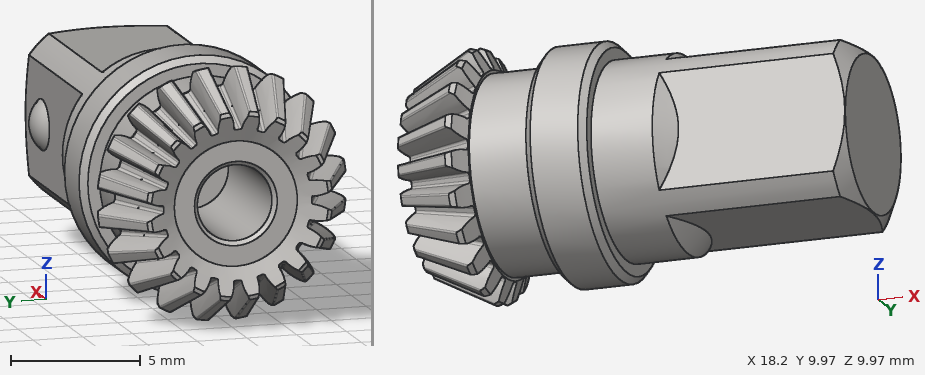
import cadquery as cq
import math


tooth_count = 20
apex_x = -6.91
tip_end_x = 2.44
tip_radius = 5.02
root_radius = 4.13
gear_end_x = 3.07
back_edge_x = 2.67
back_edge_radius = 4.93
back_face_radius = 4.1
front_edge_x = 0.05
front_edge_radius = 3.57
dish_radius = 2.47
dish_depth = 0.55

gap_floor_half = 0.1
gap_root_half = 0.21
root_fillet_height = 0.11
flank_mid_half = 0.31
flank_top_half = 0.51
tip_round_height = 0.1
tooth_land = 0.36
gap_overrun = 0.36

hub_radius = 7.93 / 2
hub_end_x = 10.57
collar_radius = 9.44 / 2
collar_start_x = 5.57
collar_end_x = 8.05
collar_chamfer = 0.27

length = 18.19
square_side = 6.35
end_radius = 3.15
end_chamfer_length = 0.5
ball_x = 15.95
ball_radius = 1.31
ball_height = 0.47

bore_radius = 3.0 / 2
bore_chamfer = 0.16
bore_depth = 6.0


def cone_radius(radius, at_x, x):
    """Radius at x of the cone from the apex through (at_x, radius)."""
    return radius * (x - apex_x) / (at_x - apex_x)


def revolve_about_x(profile):
    return profile.close().revolve(360, (0, 0, 0), (1, 0, 0))


def make_body():
    """Gear blank, hub and drive shank as one turned body."""
    profile = (
        cq.Workplane("XY")
        .moveTo(dish_depth, 0)
        .lineTo(dish_depth, dish_radius)
        .lineTo(0, front_edge_radius)
        .lineTo(front_edge_x, cone_radius(tip_radius, tip_end_x, front_edge_x))
        .lineTo(tip_end_x, tip_radius)
        .lineTo(back_edge_x, back_edge_radius)
        .lineTo(gear_end_x, back_face_radius)
        .lineTo(gear_end_x, hub_radius)
        .lineTo(length - end_chamfer_length, hub_radius)
        .lineTo(length, end_radius)
        .lineTo(length, 0)
    )
    return revolve_about_x(profile)


def make_collar():
    return (
        cq.Workplane("YZ", origin=(collar_start_x, 0, 0))
        .circle(collar_radius)
        .extrude(collar_end_x - collar_start_x)
        .edges()
        .chamfer(collar_chamfer)
    )


def gap_wire(x):
    """Outline of one tooth gap in the plane at x, centred on +Z."""
    scale = (x - apex_x) / (tip_end_x - apex_x)
    root = cone_radius(root_radius, gear_end_x, tip_end_x)
    flank_base = root + root_fillet_height
    flank_top = tip_radius - tip_round_height
    land_angle = math.pi / tooth_count - tooth_land / 2 / tip_radius
    land_half = tip_radius * math.sin(land_angle)
    land_height = tip_radius * math.cos(land_angle)
    outer = tip_radius + gap_overrun

    diagonal = math.sqrt(0.5)
    fillet_mid = (
        gap_floor_half + diagonal * (gap_root_half - gap_floor_half),
        flank_base - diagonal * root_fillet_height,
    )
    flank_mid = (flank_mid_half, (flank_base + flank_top) / 2)
    round_mid = (
        land_half - diagonal * (land_half - flank_top_half),
        flank_top + diagonal * (land_height - flank_top),
    )

    def right(point):
        return (point[0] * scale, point[1] * scale)

    def left(point):
        return (-point[0] * scale, point[1] * scale)

    floor_end = (gap_floor_half, root)
    flank_start = (gap_root_half, flank_base)
    flank_end = (flank_top_half, flank_top)
    land_edge = (land_half, land_height)
    outer_corner = (land_half, outer)
    return (
        cq.Workplane("YZ", origin=(x, 0, 0))
        .moveTo(*left(floor_end))
        .lineTo(*right(floor_end))
        .threePointArc(right(fillet_mid), right(flank_start))
        .threePointArc(right(flank_mid), right(flank_end))
        .threePointArc(right(round_mid), right(land_edge))
        .lineTo(*right(outer_corner))
        .lineTo(*left(outer_corner))
        .lineTo(*left(land_edge))
        .threePointArc(left(round_mid), left(flank_end))
        .threePointArc(left(flank_mid), left(flank_start))
        .threePointArc(left(fillet_mid), left(floor_end))
        .close()
        .val()
    )


def cut_tooth_gaps(body):
    ends = [gap_wire(-gap_overrun), gap_wire(gear_end_x)]
    gap = cq.Solid.makeLoft(ends, True)
    pitch_angle = 360 / tooth_count
    for index in range(tooth_count):
        turned_gap = gap.rotate(cq.Vector(0, 0, 0), cq.Vector(1, 0, 0), index * pitch_angle)
        body = body.cut(cq.Workplane(turned_gap))
    return body


def cut_square(body):
    """Mill the four flats; they run out on a 45 degree shoulder behind the hub."""
    waste = (
        cq.Workplane("YZ", origin=(hub_end_x, 0, 0))
        .rect(3 * hub_radius, 3 * hub_radius)
        .rect(square_side, square_side)
        .extrude(length - hub_end_x)
    )
    shoulder = revolve_about_x(
        cq.Workplane("XY")
        .moveTo(hub_end_x, 0)
        .lineTo(hub_end_x, hub_radius)
        .lineTo(hub_end_x + hub_radius, 0)
    )
    return body.cut(waste.cut(shoulder))


def make_ball():
    """Detent ball seated in the +Y flat."""
    centre_y = square_side / 2 + ball_height - ball_radius
    return cq.Workplane("XY").sphere(ball_radius).translate((ball_x, centre_y, 0))


def make_bore():
    profile = (
        cq.Workplane("XY")
        .moveTo(dish_depth, 0)
        .lineTo(dish_depth, bore_radius + bore_chamfer)
        .lineTo(dish_depth + bore_chamfer, bore_radius)
        .lineTo(dish_depth + bore_depth, bore_radius)
        .lineTo(dish_depth + bore_depth, 0)
    )
    return revolve_about_x(profile)


turned_part = cut_square(cut_tooth_gaps(make_body()))
result = turned_part.union(make_collar()).union(make_ball()).cut(make_bore())